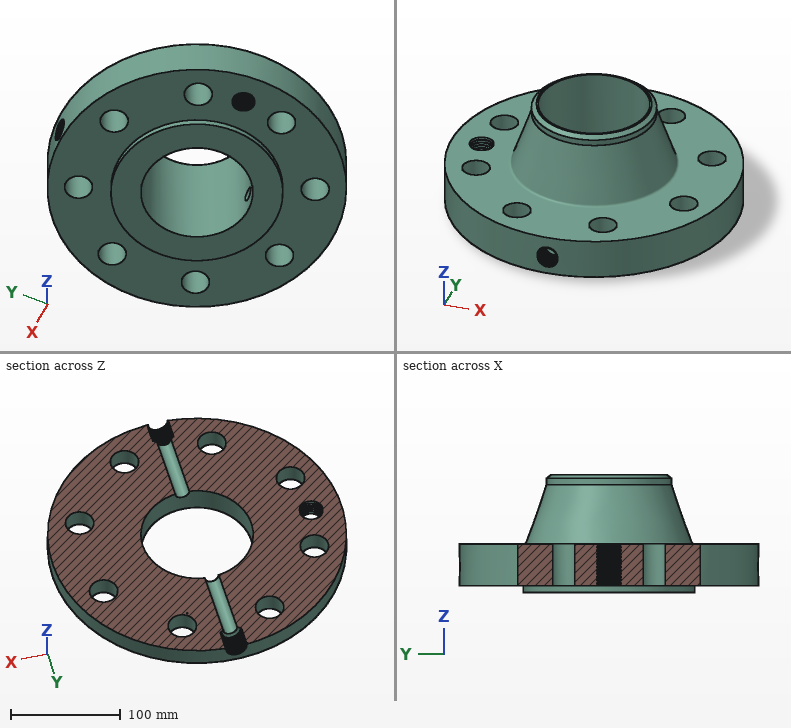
import cadquery as cq
import math


flange_diameter = 273.0
total_height = 107.9
bore_diameter = 102.0

raised_face_diameter = 157.0
raised_face_height = 6.3
flange_thickness = 38.2
flange_top = raised_face_height + flange_thickness

hub_base_diameter = 152.4
hub_fillet_radius = 2.7
weld_end_diameter = 114.5
weld_end_length = 9.3
weld_land_width = 1.6
weld_bevel_angle = 37.5
bevel_width = (weld_end_diameter - bore_diameter) / 2 - weld_land_width
bevel_height = bevel_width * math.tan(math.radians(weld_bevel_angle))

bolt_circle_diameter = 216.0
bolt_hole_diameter = 25.5
bolt_count = 8
bolt_spacing_angle = 360 / bolt_count

jack_root_diameter = 22.5
jack_crest_diameter = 19.7
jack_pitch = 3.0

tap_height = 23.8
tap_root_diameter = 21.0
tap_crest_diameter = 18.3
tap_pitch = 1.8
tap_groove_count = 11
tap_taper = 1 / 16
tap_passage_diameter = 12.8
drill_point_angle = 118

crest_flat_fraction = 1 / 8


def flange_body():
    """Disc, raised face and hub turned around the Z axis."""
    bore_radius = bore_diameter / 2
    weld_radius = weld_end_diameter / 2
    profile = [
        (bore_radius, 0),
        (raised_face_diameter / 2, 0),
        (raised_face_diameter / 2, raised_face_height),
        (flange_diameter / 2, raised_face_height),
        (flange_diameter / 2, flange_top),
        (hub_base_diameter / 2, flange_top),
        (weld_radius, total_height - weld_end_length),
        (weld_radius, total_height - bevel_height),
        (weld_radius - bevel_width, total_height),
        (bore_radius, total_height),
    ]
    body = cq.Workplane("XZ").polyline(profile).close().revolve(360, (0, 0), (0, 1))
    hub_base_rank = 3
    hub_base_edge = body.edges(cq.selectors.RadiusNthSelector(hub_base_rank))
    return hub_base_edge.fillet(hub_fillet_radius)


def thread_profile(root_diameter, crest_diameter, pitch, groove_count, taper=0.0):
    """Radius and depth points of ring grooves, from a root at the mouth to the last root."""
    half_crest_flat = pitch * crest_flat_fraction / 2
    points = [(root_diameter / 2, 0)]
    for groove in range(groove_count):
        crest_depth = (groove + 0.5) * pitch
        root_depth = (groove + 1) * pitch
        crest_radius = (crest_diameter - taper * crest_depth) / 2
        points.append((crest_radius, crest_depth - half_crest_flat))
        points.append((crest_radius, crest_depth + half_crest_flat))
        points.append(((root_diameter - taper * root_depth) / 2, root_depth))
    return points


def turned_cutter(wall_points):
    """Solid with its mouth at the origin, reaching down along -Z."""
    last_depth = wall_points[-1][1]
    outline = [(0, 0)] + wall_points + [(0, last_depth)]
    section = [(radius, -depth) for radius, depth in outline]
    return cq.Workplane("XZ").polyline(section).close().revolve(360, (0, 0), (0, 1))


def bolt_holes():
    return (
        cq.Workplane("XY")
        .polarArray(bolt_circle_diameter / 2, bolt_spacing_angle / 2, 360, bolt_count)
        .circle(bolt_hole_diameter / 2)
        .extrude(flange_top)
    )


def jack_screw_hole():
    groove_count = math.ceil(flange_thickness / jack_pitch)
    walls = thread_profile(jack_root_diameter, jack_crest_diameter, jack_pitch, groove_count)
    return turned_cutter(walls).translate((-bolt_circle_diameter / 2, 0, flange_top))


def pressure_tap():
    """Tapered thread, drill point and narrow passage into the bore, on the -Y side."""
    walls = thread_profile(
        tap_root_diameter, tap_crest_diameter, tap_pitch, tap_groove_count, tap_taper
    )
    last_radius, thread_depth = walls[-1]
    passage_radius = tap_passage_diameter / 2
    point_depth = (last_radius - passage_radius) / math.tan(math.radians(drill_point_angle / 2))
    walls.append((passage_radius, thread_depth + point_depth))
    walls.append((passage_radius, flange_diameter / 2))
    cutter = turned_cutter(walls).rotate((0, 0, 0), (1, 0, 0), 90)
    return cutter.translate((0, -flange_diameter / 2, tap_height))


tap = pressure_tap()
result = (
    flange_body()
    .cut(bolt_holes())
    .cut(jack_screw_hole())
    .cut(tap)
    .cut(tap.mirror("XZ"))
)